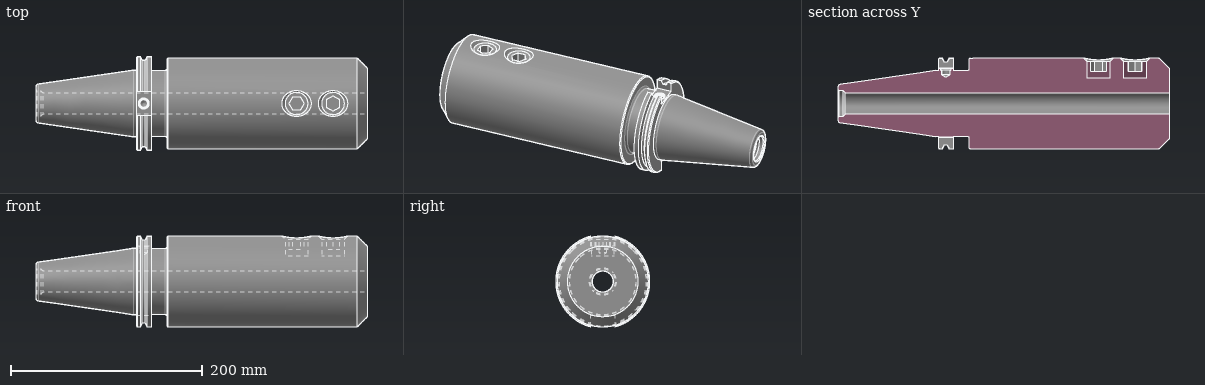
import cadquery as cq
import math

total_length = 346.0

gauge_diameter = 70.0
taper_length = 101.7
taper_ratio = 7 / 24
taper_tip_fillet = 2.8

flange_start = 105.0
flange_end = 120.8
flange_diameter = 98.3
flange_rear_chamfer = 1.0
groove_depth = 3.8
groove_center = 112.5
groove_floor_width = 3.0
groove_top_width = 7.3

neck_diameter = 69.2
neck_fillet = 2.0
head_start = 136.7
head_diameter = 95.0
head_rear_chamfer = 1.0
head_front_chamfer = 10.7

bore_diameter = 21.8
pilot_diameter = 26.3
pilot_end = 5.2
bore_chamfer = 1.0

slot_width = 25.3
top_slot_floor = 37.0
bottom_slot_floor = 35.3

recess_diameter = 10.0
recess_chamfer = 0.7
recess_depth = 2.0
drill_diameter = 8.0
drill_depth = 7.0
drill_tip_angle = 118.0

first_screw_x = 272.0
screw_spacing = 38.0
screw_angles = [0.0, 30.0]
screw_diameter = 23.5
screw_top = 44.0
screw_length = 17.3
socket_across_flats = 14.0
socket_depth = 10.5

head_radius = head_diameter / 2
flange_radius = flange_diameter / 2
neck_radius = neck_diameter / 2
gauge_radius = gauge_diameter / 2
tip_radius = gauge_radius - taper_length * taper_ratio / 2
flange_middle = (flange_start + flange_end) / 2


def turned_blank():
    """Taper, flange, neck and head as one solid of revolution."""
    groove_radius = flange_radius - groove_depth
    blank = (
        cq.Workplane("XY")
        .moveTo(0, 0)
        .lineTo(0, tip_radius)
        .lineTo(taper_length, gauge_radius)
        .lineTo(flange_start, gauge_radius)
        .lineTo(flange_start, flange_radius - flange_rear_chamfer)
        .lineTo(flange_start + flange_rear_chamfer, flange_radius)
        .lineTo(groove_center - groove_top_width / 2, flange_radius)
        .lineTo(groove_center - groove_floor_width / 2, groove_radius)
        .lineTo(groove_center + groove_floor_width / 2, groove_radius)
        .lineTo(groove_center + groove_top_width / 2, flange_radius)
        .lineTo(flange_end, flange_radius)
        .lineTo(flange_end, neck_radius)
        .lineTo(head_start - neck_fillet, neck_radius)
        .radiusArc((head_start, neck_radius + neck_fillet), -neck_fillet)
        .lineTo(head_start, head_radius - head_rear_chamfer)
        .lineTo(head_start + head_rear_chamfer, head_radius)
        .lineTo(total_length - head_front_chamfer, head_radius)
        .lineTo(total_length, head_radius - head_front_chamfer)
        .lineTo(total_length, 0)
        .close()
        .revolve(360, (0, 0, 0), (1, 0, 0))
    )
    return blank.faces("<X").edges().fillet(taper_tip_fillet)


def axial_bore():
    """Through bore, with a chamfered pilot that narrows to it in a 45 degree cone."""
    pilot_radius = pilot_diameter / 2
    bore_radius = bore_diameter / 2
    cone_end = pilot_end + pilot_radius - bore_radius
    return (
        cq.Workplane("XY")
        .moveTo(0, 0)
        .lineTo(0, pilot_radius + bore_chamfer)
        .lineTo(bore_chamfer, pilot_radius)
        .lineTo(pilot_end, pilot_radius)
        .lineTo(cone_end, bore_radius)
        .lineTo(total_length, bore_radius)
        .lineTo(total_length, 0)
        .close()
        .revolve(360, (0, 0, 0), (1, 0, 0))
    )


def drive_slot(floor, side):
    """Slot across the flange; side is 1 at the top and -1 at the bottom."""
    length = flange_end - flange_start
    height = flange_radius - floor
    middle_z = side * (floor + flange_radius) / 2
    return cq.Workplane("XY").box(length, slot_width, height).translate((flange_middle, 0, middle_z))


def slot_pocket():
    """Chamfered recess with a drilled blind hole below it, sunk into the top slot floor."""
    recess_radius = recess_diameter / 2
    drill_radius = drill_diameter / 2
    tip_height = drill_radius / math.tan(math.radians(drill_tip_angle / 2))
    return (
        cq.Workplane("XZ")
        .moveTo(0, 0)
        .lineTo(recess_radius + recess_chamfer, 0)
        .lineTo(recess_radius, -recess_chamfer)
        .lineTo(recess_radius, -recess_depth)
        .lineTo(drill_radius, -recess_depth)
        .lineTo(drill_radius, -drill_depth)
        .lineTo(0, -drill_depth - tip_height)
        .close()
        .revolve(360, (0, 0, 0), (0, 1, 0))
        .translate((groove_center, 0, top_slot_floor))
    )


def screw_hole(x):
    """Hole that the screw fills, opening above it in a 45 degree countersink."""
    radius = screw_diameter / 2
    rise = head_radius - screw_top
    return (
        cq.Workplane("XZ")
        .moveTo(0, screw_top - screw_length)
        .lineTo(radius, screw_top - screw_length)
        .lineTo(radius, screw_top)
        .lineTo(radius + rise, head_radius)
        .lineTo(0, head_radius)
        .close()
        .revolve(360, (0, 0, 0), (0, 1, 0))
        .translate((x, 0, 0))
    )


def clamping_screw(x, angle):
    """Set screw with a hexagon socket turned by the given angle."""
    hexagon_diameter = socket_across_flats / math.cos(math.pi / 6)
    socket = (
        cq.Workplane("XY", origin=(0, 0, screw_top - socket_depth))
        .polygon(6, hexagon_diameter)
        .extrude(socket_depth)
        .rotate((0, 0, 0), (0, 0, 1), angle)
    )
    return (
        cq.Workplane("XY", origin=(0, 0, screw_top - screw_length))
        .circle(screw_diameter / 2)
        .extrude(screw_length)
        .cut(socket)
        .translate((x, 0, 0))
    )


holder = turned_blank().cut(axial_bore())
holder = holder.cut(drive_slot(top_slot_floor, 1)).cut(drive_slot(bottom_slot_floor, -1))
holder = holder.cut(slot_pocket())

screws = []
for index, angle in enumerate(screw_angles):
    screw_x = first_screw_x + index * screw_spacing
    holder = holder.cut(screw_hole(screw_x))
    screws.append(clamping_screw(screw_x, angle))

result = cq.Compound.makeCompound([holder.val(), *[screw.val() for screw in screws]])